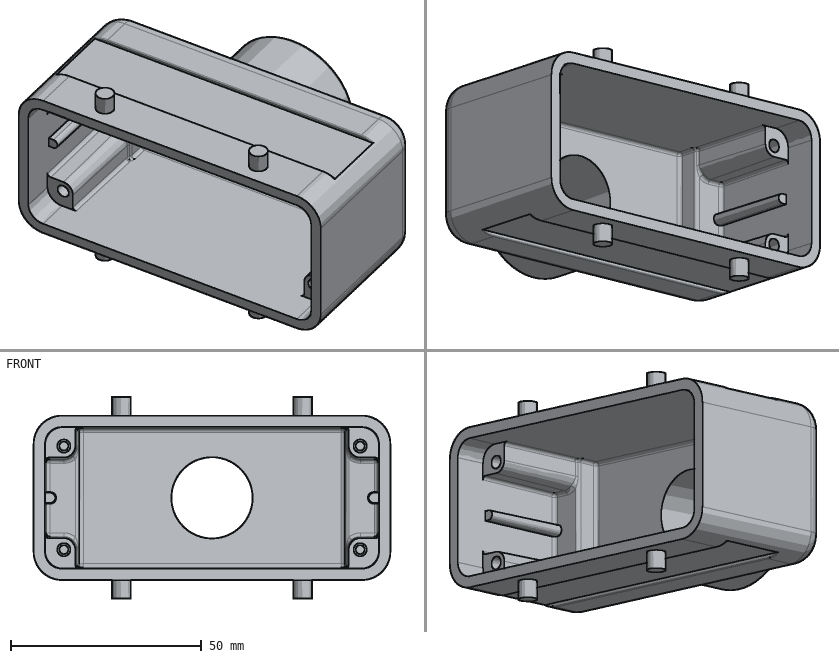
import cadquery as cq

length = 93.5
height = 43.1
depth = 45.2
corner_radius = 7.5
back_edge_radius = 5.05

overall_depth = 61.0
neck_diameter = 37.4
neck_bore_diameter = 21.2
neck_rim_radius = 0.9
neck_root_radius = 0.75

overall_height = 52.8
pin_diameter = 5.0
pin_x = 23.75
pin_y = 5.9

recess_depth = 1.0
recess_front_y = 13.0
recess_back_y = 31.5
recess_rim_radius = 0.3

wall = 3.0
cavity_draft = 0.5
floor_y = depth - wall
ledge_y = 35.5
ledge_x = 34.8
floor_fillet = 1.0
inner_corner_fillet = 0.9

boss_front_y = 9.3
screw_x = 38.8
screw_z = 13.6
boss_radius = 3.0
boss_draft = 1.0
screw_entry_diameter = 3.5
screw_entry_depth = 18.7
screw_core_diameter = 2.3
screw_core_depth = 28.05

post_front_y = 10.0
post_x = 42.4
post_front_radius = 1.3

embed = wall / 2
tiny = 0.01
corner_start_x = length / 2 - corner_radius
inner_length = length - 2 * wall
inner_height = height - 2 * wall


def plane_at(y):
    """XZ sketch plane at the given Y; local y is -Z and extrusions run toward +Y."""
    return cq.Workplane(cq.Plane(origin=(0, y, 0), xDir=(1, 0, 0), normal=(0, 1, 0)))


def between(y_min, y_max, half_width=length):
    """Selector for the edges lying wholly between two Y values and within a half width in X."""
    reach = half_width + tiny
    return cq.selectors.BoxSelector(
        (-reach, y_min - tiny, -height), (reach, y_max + tiny, height), boundingbox=True
    )


def make_shell():
    """Solid rounded block with the neck on its back."""
    shell = plane_at(0).rect(length, height).extrude(depth).edges("|Y").fillet(corner_radius)
    shell = shell.faces(">Y").edges().fillet(back_edge_radius)
    neck_start = depth - back_edge_radius
    neck = plane_at(neck_start).circle(neck_diameter / 2).extrude(overall_depth - neck_start)
    neck = neck.faces(">Y").edges().fillet(neck_rim_radius)
    shell = shell.union(neck)
    root = between(neck_start + 2 * tiny, depth, neck_diameter / 2)
    return shell.edges(root).edges("not |Y").fillet(neck_root_radius)


def make_boss(side_x, side_z):
    """Corner boss, rounded toward the middle, buried in the walls on its outer sides."""
    reach_x = length / 2 - screw_x
    reach_z = height / 2 - screw_z
    outline = (
        cq.Sketch()
        .push([((reach_x - boss_radius) / 2, (reach_z - boss_radius) / 2)])
        .rect(reach_x + boss_radius, reach_z + boss_radius)
        .reset()
        .vertices("<X and <Y")
        .fillet(boss_radius)
    )
    boss = plane_at(boss_front_y).placeSketch(outline).extrude(floor_y - boss_front_y, taper=-boss_draft)
    if side_x < 0:
        boss = boss.mirror("YZ")
    if side_z > 0:
        boss = boss.mirror("XY")
    return boss.translate((side_x * screw_x, 0, side_z * screw_z))


def make_post(side_x):
    """Drafted post with a round nose toward the middle, merging straight into the end wall."""
    reach = length / 2 - embed - post_x
    outline = (
        cq.Sketch()
        .circle(post_front_radius)
        .push([(reach / 2, 0)])
        .rect(reach, 2 * post_front_radius)
        .reset()
        .clean()
    )
    post = plane_at(post_front_y).placeSketch(outline).extrude(floor_y - post_front_y, taper=-cavity_draft)
    if side_x < 0:
        post = post.mirror("YZ")
    return post.translate((side_x * post_x, 0, 0))


def boss_wall_seams(cavity):
    """Long edges along Y where the bosses meet the cavity walls."""
    seams = []
    for edge in cavity.edges(between(boss_front_y, ledge_y)).vals():
        box = edge.BoundingBox()
        middle = edge.Center()
        at_end_wall = abs(middle.x) > screw_x + boss_radius
        at_side_wall = abs(middle.z) > screw_z + boss_radius
        starts_at_mouth = abs(box.ymin - boss_front_y) < tiny
        if starts_at_mouth and box.ylen > boss_radius and (at_end_wall or at_side_wall):
            seams.append(edge)
    return seams


def make_cavity():
    """Solid filling the hollow: drafted, shallower at both ends, notched by bosses and posts."""
    outline = cq.Sketch().rect(inner_length, inner_height).vertices().fillet(corner_radius - wall)
    cavity = plane_at(0).placeSketch(outline).extrude(floor_y, taper=cavity_draft)

    ledge_length = length / 2 - ledge_x
    for side_x in (-1, 1):
        ledge_plane = plane_at(ledge_y).center(side_x * (ledge_x + ledge_length / 2), 0)
        cavity = cavity.cut(ledge_plane.rect(ledge_length, height).extrude(floor_y - ledge_y))
    step_corners = cavity.edges(between(ledge_y, floor_y, ledge_x)).edges("not (|X or |Z)")
    cavity = step_corners.fillet(inner_corner_fillet)
    cavity = cavity.edges(between(floor_y, floor_y)).fillet(floor_fillet)
    cavity = cavity.edges(between(ledge_y, ledge_y, ledge_x)).edges("|Z").fillet(floor_fillet)

    for side_x in (-1, 1):
        for side_z in (-1, 1):
            cavity = cavity.cut(make_boss(side_x, side_z))
    ledge_edges = cavity.edges(between(ledge_y, ledge_y))
    cavity = ledge_edges.edges("(not |Z) or <X or >X").fillet(floor_fillet)
    cavity = cavity.newObject(boss_wall_seams(cavity)).fillet(inner_corner_fillet)

    for side_x in (-1, 1):
        cavity = cavity.cut(make_post(side_x))
    return cavity


def add_pins(body):
    """Two locking pins on the top and two on the bottom."""
    for side_x in (-1, 1):
        for side_z in (-1, 1):
            pin_plane = cq.Workplane("XY", origin=(side_x * pin_x, pin_y, side_z * overall_height / 2))
            pin_length = (overall_height - height) / 2 + embed
            body = body.union(pin_plane.circle(pin_diameter / 2).extrude(-side_z * pin_length))
    return body


def cut_screw_holes(body):
    """Blind stepped holes: a wide entry, then a narrower core."""
    centres = [(side_x * screw_x, side_z * screw_z) for side_x in (-1, 1) for side_z in (-1, 1)]
    hole_plane = plane_at(boss_front_y).pushPoints(centres)
    body = body.cut(hole_plane.circle(screw_entry_diameter / 2).extrude(screw_entry_depth))
    return body.cut(hole_plane.circle(screw_core_diameter / 2).extrude(screw_core_depth))


def cut_label_recesses(body):
    """Shallow flat across the full length of the top and bottom, with rounded rims."""
    recess_width = recess_back_y - recess_front_y
    for side_z in (-1, 1):
        recess = cq.Workplane("XY").box(length, recess_width, 2 * recess_depth)
        body = body.cut(recess.translate((0, recess_front_y + recess_width / 2, side_z * height / 2)))
        for y in (recess_front_y, recess_back_y):
            rim = body.edges(between(y, y, corner_start_x)).edges(">Z" if side_z > 0 else "<Z")
            body = rim.fillet(recess_rim_radius)
    return body


body = cut_label_recesses(make_shell())
body = body.cut(make_cavity())
body = body.cut(plane_at(0).circle(neck_bore_diameter / 2).extrude(overall_depth))
body = cut_screw_holes(body)
result = add_pins(body)